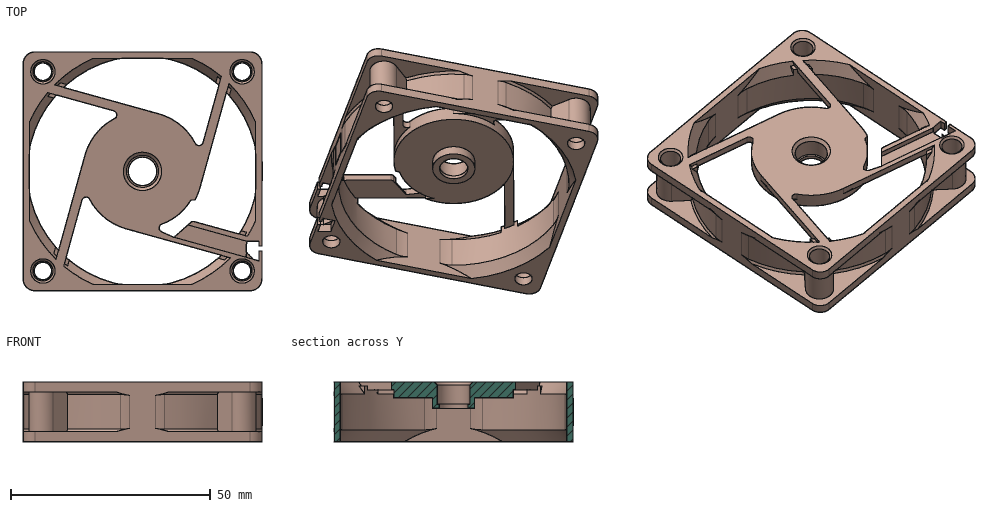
import cadquery as cq
import math

frame_side = 60.0
frame_height = 15.0
corner_radius = 3.0
flange_thickness = 2.5
half_side = frame_side / 2

duct_inner_radius = 28.9
duct_wall = 1.4
duct_flat_wall = 1.6
bore_flare_height = 3.0
outer_flare_height = 3.2
flat_wall_blend = 12.0
flare_widening = 2.05
duct_outer_radius = duct_inner_radius + duct_wall

mount_spacing = 50.0
post_radius = 3.55
mount_hole_radius = 2.5
mount_lip_radius = 2.15
mount_chamfer = 0.55

label_thickness = 0.1
label_width = 4.6
label_height = 6.8

hub_radius = 15.0
hub_height = 4.0
tube_outer_radius = 5.3
tube_height = 6.6
bore_radius = 4.0
bore_depth = 5.6
bore_lip_radius = 3.55
bore_chamfer = 0.8
recess_radius = 14.1
recess_end_y = -7.2
recess_spoke_offset = 13.2
recess_end_radius = 0.6

spoke_width = 2.35
spoke_thickness = 2.0
spoke_slope = 15.5
spoke_end = 31.85
web_fillet = 1.0
pad_overhang = 0.9
pad_drop = 0.95

tray_start = 12.0
tray_far_start = 15.4
tray_end = 30.05
tray_far_offset = 8.65
channel_far_offset = 9.9
channel_near_offset = 13.8
channel_end = 30.65
channel_depth = 1.5
lead_spoke_root_offset = 12.0
tray_corner_fillet = 0.8

lead_hole_left = 26.1
lead_hole_right = 29.2
lead_hole_top = -17.55
lead_slot_centre = -19.35
lead_slot_width = 1.2
lead_web_extra = 0.55
lead_corner_angle = -45

spoke_bottom = frame_height - spoke_thickness
spoke_inner_offset = hub_radius - spoke_width
duct_inner_side = frame_side - 2 * duct_flat_wall
gap_top = frame_height - flange_thickness
gap_height = gap_top - flange_thickness
mount_distance = mount_spacing / math.sqrt(2)
web_length = mount_distance - duct_inner_radius
slope_cos = math.cos(math.radians(spoke_slope))
slope_sin = math.sin(math.radians(spoke_slope))


def spoke_point(along, offset):
    """XY point on the lower right spoke: distance along it and offset from the hub centre."""
    return (along * slope_cos - offset * slope_sin, -along * slope_sin - offset * slope_cos)


def prism(points, bottom, top):
    return cq.Workplane("XY").workplane(offset=bottom).polyline(points).close().extrude(top - bottom)


def spoke_prism(local_points, bottom, top):
    return prism([spoke_point(along, offset) for along, offset in local_points], bottom, top)


def disc(radius, bottom, top):
    return cq.Workplane("XY").workplane(offset=bottom).circle(radius).extrude(top - bottom)


def turned(body, degrees):
    return body.rotate((0, 0, 0), (0, 0, 1), degrees)


def square_block(side, bottom, top):
    centre = (True, True, False)
    return cq.Workplane("XY").workplane(offset=bottom).box(side, side, top - bottom, centered=centre)


def flared_duct(radius, flare_height):
    """Solid of revolution: a cylinder that widens towards both ends."""
    wide = radius + flare_widening
    profile = [
        (0, 0),
        (wide, 0),
        (radius, flare_height),
        (radius, frame_height - flare_height),
        (wide, frame_height),
        (0, frame_height),
    ]
    return cq.Workplane("XZ").polyline(profile).close().revolve(360, (0, 0, 0), (0, 1, 0))


def lead_opening():
    """Opening behind the +X edge, with a narrow slot out through that edge."""
    def lower_edge(x):
        along = (x + channel_near_offset * slope_sin) / slope_cos
        return (x, spoke_point(along, channel_near_offset)[1])

    corners = [
        (lead_hole_left, lead_hole_top),
        (lead_hole_right, lead_hole_top),
        lower_edge(lead_hole_right),
        lower_edge(lead_hole_left),
    ]
    slot_length = half_side - lead_hole_left
    slot = (
        cq.Workplane("XY")
        .box(slot_length, lead_slot_width, frame_height, centered=(False, True, False))
        .translate((lead_hole_left, lead_slot_centre, 0))
    )
    return prism(corners, 0, frame_height).union(slot)


def within_walls(duct, side):
    """Duct body trimmed by flat walls, with the edges between round and flat stretches blended."""
    trimmed = duct.intersect(square_block(side, 0, frame_height))
    return trimmed.edges("|Z").fillet(flat_wall_blend)


def duct_frame():
    """Square frame, open between its flanges outside the duct."""
    frame = square_block(frame_side, 0, frame_height).edges("|Z").fillet(corner_radius)
    duct_body = within_walls(flared_duct(duct_outer_radius, outer_flare_height), frame_side)
    gap = square_block(frame_side, flange_thickness, gap_top).cut(duct_body)
    return frame.cut(gap)


def spoke_pad(inner_offset):
    """Block under the root of a spoke, reaching past both of its edges."""
    near = inner_offset - pad_overhang
    far = hub_radius + pad_overhang
    bottom = frame_height / 2
    top = frame_height - pad_drop
    outline = [(hub_radius, near), (spoke_end, near), (spoke_end, far), (hub_radius, far)]
    return spoke_prism(outline, bottom, top)


def duct_void():
    """Air space inside the duct, leaving the ledges that stand on its upper flare."""
    void = within_walls(flared_duct(duct_inner_radius, bore_flare_height), duct_inner_side)
    for turn in range(4):
        inner_offset = tray_far_offset if turn == 0 else spoke_inner_offset
        void = void.cut(turned(spoke_pad(inner_offset), 90 * turn))
    return void.union(within_walls(disc(duct_inner_radius, 0, frame_height), duct_inner_side))


def corner_post(angle):
    """Post between the flanges, joined to the duct by a web as wide as the post."""
    web = (
        cq.Workplane("XY")
        .box(web_length, 2 * post_radius, gap_height, centered=(False, True, False))
        .translate((duct_inner_radius, 0, flange_thickness))
    )
    post = disc(post_radius, flange_thickness, gap_top).translate((mount_distance, 0, 0))
    return turned(web.union(post), angle)


def lead_web():
    """Thicker side of the web that faces the lead opening."""
    side_wall = (
        cq.Workplane("XY")
        .box(web_length, lead_web_extra, gap_height, centered=False)
        .translate((duct_inner_radius, post_radius, flange_thickness))
    )
    return turned(side_wall, lead_corner_angle)


def stepped_hole(radius, lip_radius, lip_top, chamfer):
    """Hole with a chamfered mouth on the top face and a narrower lip below lip_top."""
    profile = [
        (0, 0),
        (lip_radius, 0),
        (lip_radius, lip_top),
        (radius, lip_top),
        (radius, frame_height - chamfer),
        (radius + chamfer, frame_height),
        (0, frame_height),
    ]
    return cq.Workplane("XZ").polyline(profile).close().revolve(360, (0, 0, 0), (0, 1, 0))


def hub_disc(bottom):
    """Hub disc, set back to a smaller radius beside the lead channel."""
    outside = hub_radius + 0.6
    recess_area = [
        (0, recess_end_y),
        (outside, recess_end_y),
        spoke_point(outside, recess_spoke_offset),
        spoke_point(0, recess_spoke_offset),
    ]
    recess = prism(recess_area, bottom, frame_height).cut(disc(recess_radius, bottom, frame_height))
    recess_start_x = math.sqrt(recess_radius**2 - recess_end_y**2)
    start_corner = cq.selectors.NearestToPointSelector((recess_start_x, recess_end_y, bottom))
    recess = recess.edges("|Z").edges(start_corner).fillet(recess_end_radius)
    return disc(hub_radius, bottom, frame_height).cut(recess)


def plain_spoke():
    outline = [
        (0, spoke_inner_offset),
        (spoke_end, spoke_inner_offset),
        (spoke_end, hub_radius),
        (0, hub_radius),
    ]
    return spoke_prism(outline, spoke_bottom, frame_height)


def lead_spoke():
    """Lower right spoke with the tray that carries the leads."""
    spoke = spoke_prism(
        [
            (0, lead_spoke_root_offset),
            (tray_start, channel_near_offset),
            (spoke_end, channel_near_offset),
            (spoke_end, hub_radius),
            (0, hub_radius),
        ],
        spoke_bottom,
        frame_height,
    )
    tray = spoke_prism(
        [
            (tray_start, channel_near_offset),
            (tray_far_start, tray_far_offset),
            (tray_end, tray_far_offset),
            (tray_end, channel_near_offset),
        ],
        spoke_bottom,
        frame_height,
    )
    corner = spoke_point(tray_far_start, tray_far_offset)
    tray_corner = cq.selectors.NearestToPointSelector((*corner, frame_height))
    tray = tray.edges("|Z").edges(tray_corner).fillet(tray_corner_fillet)
    return spoke.union(tray)


def lead_channel():
    outline = [
        (tray_start, channel_near_offset),
        (tray_start, channel_far_offset),
        (channel_end, channel_far_offset),
        (channel_end, channel_near_offset),
    ]
    return spoke_prism(outline, frame_height - channel_depth, frame_height)


def round_notch(web, core_radius, edge_offset):
    """Round the acute notch between the hub and the inner edge of the spoke at lower right."""
    notch = spoke_point(math.sqrt(core_radius**2 - edge_offset**2), edge_offset)
    notch_edge = cq.selectors.NearestToPointSelector((*notch, spoke_bottom))
    return web.edges("|Z").edges(notch_edge).fillet(web_fillet)


def hub_and_spokes():
    web = hub_disc(spoke_bottom).union(lead_spoke())
    web = round_notch(web, recess_radius, recess_spoke_offset)
    for _ in range(3):
        web = turned(web, 90).union(plain_spoke())
        web = round_notch(web, hub_radius, spoke_inner_offset)
    web = turned(web, 90)
    tube = disc(tube_outer_radius, frame_height - tube_height, frame_height)
    return web.union(hub_disc(frame_height - hub_height)).union(tube)


def mount_hole(angle):
    hole = stepped_hole(mount_hole_radius, mount_lip_radius, flange_thickness, mount_chamfer)
    return turned(hole.translate((mount_distance, 0, 0)), angle)


def label_plate():
    embedded = duct_flat_wall / 2
    thickness = embedded + label_thickness
    centre_x = half_side + label_thickness - thickness / 2
    plate = cq.Workplane("XY").box(thickness, label_width, label_height)
    return plate.translate((centre_x, 0, frame_height / 2))


corner_angles = [45, 135, 225, 315]

result = duct_frame().cut(lead_opening())
for angle in corner_angles:
    result = result.union(corner_post(angle))
result = result.union(lead_web())
result = result.cut(duct_void())
result = result.union(hub_and_spokes())
result = result.cut(lead_channel())
for angle in corner_angles:
    result = result.cut(mount_hole(angle))
result = result.cut(stepped_hole(bore_radius, bore_lip_radius, frame_height - bore_depth, bore_chamfer))
result = result.union(label_plate())